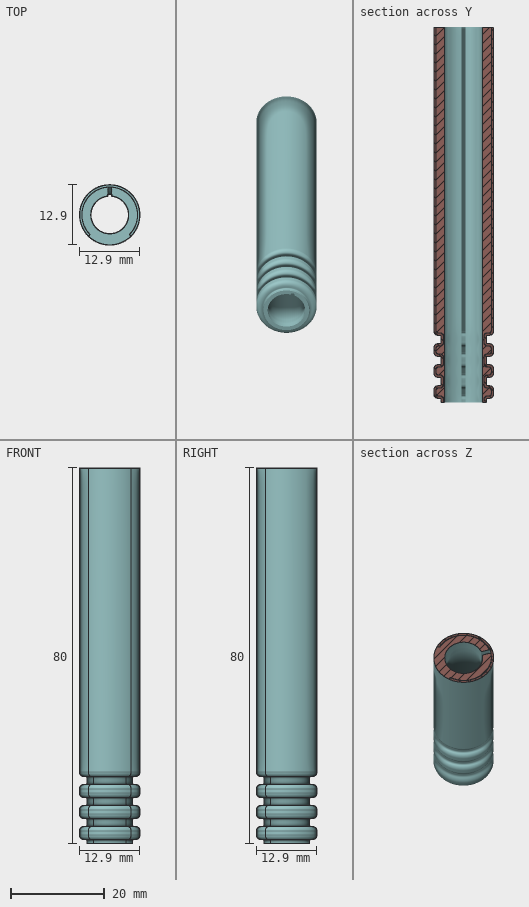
import cadquery as cq
import math

LENGTH = 80.0
OUTER_RADIUS = 6.44
BORE_RADIUS = 4.0

GROOVE_RADIUS = 4.9
GROOVE_COUNT = 3
GROOVE_PITCH = 4.5
NECK_HEIGHT = 1.2
TAIL_HEIGHT = 0.6
BEAD_ROUND = 1.0
NECK_FILLET = 0.2

SKIN_THICKNESS = 0.5
BARE_ANGLE = 90.0

SLOT_WIDTH = 0.8

STEP_HEIGHT = BEAD_ROUND + NECK_FILLET
BEAD_HEIGHT = GROOVE_PITCH - NECK_HEIGHT - 2 * STEP_HEIGHT
DIAGONAL = math.sqrt(0.5)


def step_outward(profile, neck_z, inset):
    """Go up from a groove floor that ends at neck_z to a bead's rim: concave arc, ledge, convex arc."""
    floor, rim = GROOVE_RADIUS - inset, OUTER_RADIUS - inset
    fillet, rounding = NECK_FILLET + inset, BEAD_ROUND - inset
    ledge_z = neck_z + fillet
    profile = profile.threePointArc(
        (-floor - fillet * (1 - DIAGONAL), neck_z + fillet * DIAGONAL), (-floor - fillet, ledge_z)
    )
    profile = profile.lineTo(-rim + rounding, ledge_z)
    return profile.threePointArc(
        (-rim + rounding * (1 - DIAGONAL), ledge_z + rounding * (1 - DIAGONAL)), (-rim, ledge_z + rounding)
    )


def step_inward(profile, rim_z, inset):
    """Go up from a bead's rim that ends at rim_z to a groove floor: convex arc, ledge, concave arc."""
    floor, rim = GROOVE_RADIUS - inset, OUTER_RADIUS - inset
    fillet, rounding = NECK_FILLET + inset, BEAD_ROUND - inset
    ledge_z = rim_z + rounding
    profile = profile.threePointArc(
        (-rim + rounding * (1 - DIAGONAL), rim_z + rounding * DIAGONAL), (-rim + rounding, ledge_z)
    )
    profile = profile.lineTo(-floor - fillet, ledge_z)
    return profile.threePointArc(
        (-floor - fillet * (1 - DIAGONAL), ledge_z + fillet * (1 - DIAGONAL)), (-floor, ledge_z + fillet)
    )


def grooved_rod(inset):
    """Solid rod with beads and grooves, its whole side surface set in by the inset."""
    profile = cq.Workplane("XZ").lineTo(-GROOVE_RADIUS + inset, 0)
    for index in range(GROOVE_COUNT):
        neck_z = TAIL_HEIGHT + index * GROOVE_PITCH
        rim_z = neck_z + STEP_HEIGHT
        profile = profile.lineTo(-GROOVE_RADIUS + inset, neck_z)
        profile = step_outward(profile, neck_z, inset)
        profile = profile.lineTo(-OUTER_RADIUS + inset, rim_z + BEAD_HEIGHT)
        profile = step_inward(profile, rim_z + BEAD_HEIGHT, inset)
    sleeve_neck_z = TAIL_HEIGHT + GROOVE_COUNT * GROOVE_PITCH
    profile = profile.lineTo(-GROOVE_RADIUS + inset, sleeve_neck_z)
    profile = step_outward(profile, sleeve_neck_z, inset)
    profile = profile.lineTo(-OUTER_RADIUS + inset, LENGTH).lineTo(0, LENGTH).close()
    return profile.revolve(360, (0, 0, 0), (0, 1, 0))


def bare_wedge():
    """Wedge from the axis toward -Y, covering the strip that the skin leaves bare."""
    depth = 2 * OUTER_RADIUS
    half_width = depth * math.tan(math.radians(BARE_ANGLE / 2))
    corners = [(0, 0), (-half_width, -depth), (half_width, -depth)]
    return cq.Workplane("XY").polyline(corners).close().extrude(LENGTH)


def make_skin():
    return grooved_rod(0).cut(grooved_rod(SKIN_THICKNESS)).cut(bare_wedge())


def make_core(skin):
    bore = cq.Workplane("XY").circle(BORE_RADIUS).extrude(LENGTH)
    slot = cq.Workplane("XY").center(0, OUTER_RADIUS / 2).rect(SLOT_WIDTH, OUTER_RADIUS).extrude(LENGTH)
    return grooved_rod(0).cut(skin).cut(bore).cut(slot)


skin = make_skin()
core = make_core(skin)

result = cq.Compound.makeCompound([core.val(), skin.val()])